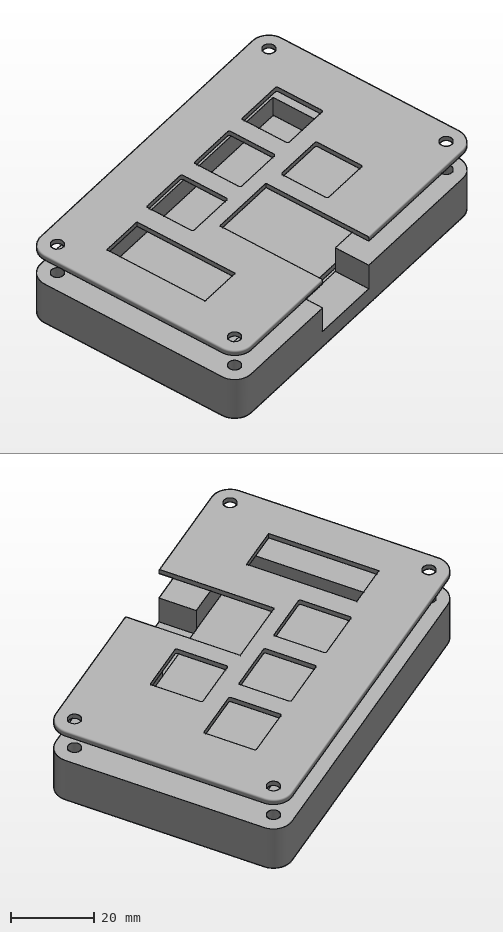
import cadquery as cq

LENGTH = 94.8
WIDTH = 63.4
CORNER_RADIUS = 5.0
SCREW_HOLE_DIAMETER = 3.4
SCREW_SPACING_X = WIDTH - 2 * CORNER_RADIUS
SCREW_SPACING_Y = LENGTH - 2 * CORNER_RADIUS

CASE_HEIGHT = 13.0
WALL = 10.05
FLOOR = 3.0
CAVITY_WIDTH = WIDTH - 2 * WALL
CAVITY_LENGTH = LENGTH - 2 * WALL

BOARD_CLEARANCE = 0.3
BOARD_THICKNESS = 1.6
BOARD_TOP = 7.4

OVERALL_HEIGHT = 22.5
PLATE_THICKNESS = 1.4
PLATE_BOTTOM = OVERALL_HEIGHT - PLATE_THICKNESS
PLATE_EDGE_FILLET = 0.5

OPENING_WIDTH = 18.5
OPENING_CENTER_Y = -4.55
OPENING_SILL = 5.1
OPENING_LEFT = 0.8

KEY_SIZE = 14.0
KEY_CORNER_RADIUS = 0.5
KEY_PITCH = 19.1
MIDDLE_KEY_X = -10.3
MIDDLE_KEY_Y = 6.9
KEY_CENTERS = [(MIDDLE_KEY_X, MIDDLE_KEY_Y + row * KEY_PITCH) for row in (-1, 0, 1)]
KEY_CENTERS.append((MIDDLE_KEY_X + KEY_PITCH, MIDDLE_KEY_Y + KEY_PITCH / 2))

DISPLAY_WIDTH = 29.6
DISPLAY_HEIGHT = 12.0
DISPLAY_CENTER = (-1.2, -30.7)


def rounded_slab(bottom, height):
    """Slab with the shared rounded outline."""
    return (
        cq.Workplane("XY")
        .workplane(offset=bottom)
        .rect(WIDTH, LENGTH)
        .extrude(height)
        .edges("|Z")
        .fillet(CORNER_RADIUS)
    )


def screw_holes():
    """Four cylinders, concentric with the rounded corners, as tall as the whole part."""
    return (
        cq.Workplane("XY")
        .rect(SCREW_SPACING_X, SCREW_SPACING_Y, forConstruction=True)
        .vertices()
        .circle(SCREW_HOLE_DIAMETER / 2)
        .extrude(OVERALL_HEIGHT)
    )


def side_opening(bottom):
    """Block from the opening's left edge to the +X side, reaching from z = bottom to the top of the part."""
    return (
        cq.Workplane("XY")
        .box(WIDTH / 2 - OPENING_LEFT, OPENING_WIDTH, OVERALL_HEIGHT - bottom, centered=(False, True, False))
        .translate((OPENING_LEFT, OPENING_CENTER_Y, bottom))
    )


def key_windows():
    """Rounded square prisms for the keys."""
    return (
        cq.Workplane("XY")
        .pushPoints(KEY_CENTERS)
        .rect(KEY_SIZE, KEY_SIZE)
        .extrude(OVERALL_HEIGHT)
        .edges("|Z")
        .fillet(KEY_CORNER_RADIUS)
    )


def display_window():
    """Sharp-cornered prism for the display."""
    return (
        cq.Workplane("XY")
        .center(*DISPLAY_CENTER)
        .rect(DISPLAY_WIDTH, DISPLAY_HEIGHT)
        .extrude(OVERALL_HEIGHT)
    )


def make_case():
    cavity = (
        cq.Workplane("XY")
        .workplane(offset=FLOOR)
        .rect(CAVITY_WIDTH, CAVITY_LENGTH)
        .extrude(CASE_HEIGHT - FLOOR)
    )
    return (
        rounded_slab(0, CASE_HEIGHT)
        .cut(cavity)
        .cut(side_opening(OPENING_SILL))
        .cut(screw_holes())
    )


def make_board():
    return (
        cq.Workplane("XY")
        .workplane(offset=BOARD_TOP - BOARD_THICKNESS)
        .rect(CAVITY_WIDTH - 2 * BOARD_CLEARANCE, CAVITY_LENGTH - 2 * BOARD_CLEARANCE)
        .extrude(BOARD_THICKNESS)
    )


def make_cover_plate():
    return (
        rounded_slab(PLATE_BOTTOM, PLATE_THICKNESS)
        .faces(">Z")
        .edges()
        .fillet(PLATE_EDGE_FILLET)
        .cut(side_opening(PLATE_BOTTOM))
        .cut(key_windows())
        .cut(display_window())
        .cut(screw_holes())
    )


case = make_case()
board = make_board()
cover_plate = make_cover_plate()

result = cq.Compound.makeCompound([case.val(), board.val(), cover_plate.val()])